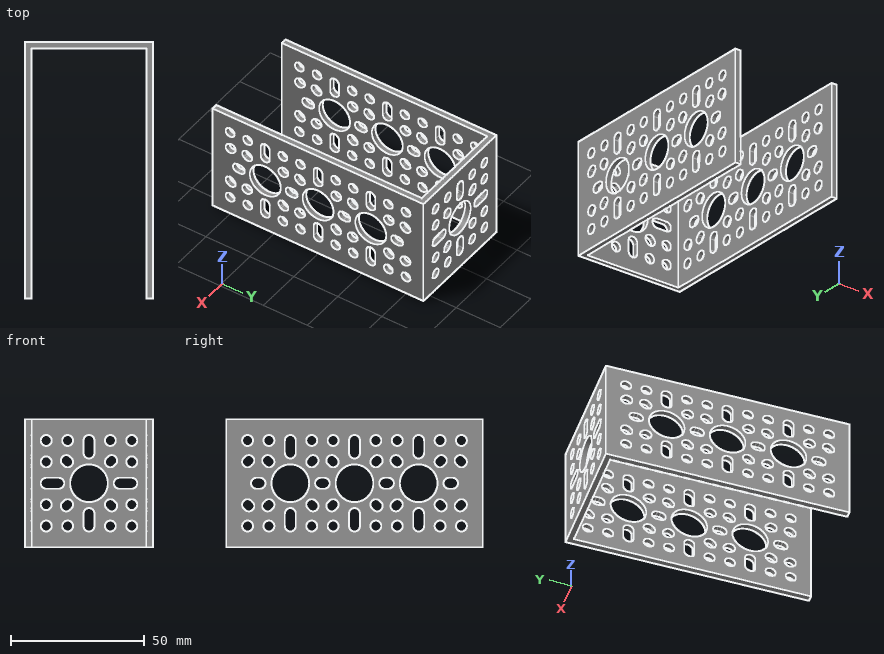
import cadquery as cq
import math

width = 48
length = 96
height = 48
wall = 2.5

cluster_pitch = length / 4
grid_pitch = cluster_pitch / 3
edge_row = 2 * grid_pitch
large_diameter = 14.0
small_diameter = grid_pitch / 2

inner_circle_radius = grid_pitch * math.sqrt(2)
outer_circle_radius = cluster_pitch / 2

signs = (-1, 1)
diagonals = {1: (45, 315), -1: (135, 225)}
side_cluster_centres = (-cluster_pitch, 0, cluster_pitch)


def holes(plane, points, diameter, depth):
    """Round cutters at the given points, reaching the depth on both sides of the plane."""
    return cq.Workplane(plane).pushPoints(points).circle(diameter / 2).extrude(depth, both=True)


def radial_slots(plane, centre, start_radius, end_radius, angles, depth):
    """Slot cutters pointing away from (centre, 0), with end arcs centred on the two radii."""
    middle = (start_radius + end_radius) / 2
    slot_length = end_radius - start_radius + small_diameter
    cutters = cq.Workplane(plane)
    for angle in angles:
        x = centre + middle * math.cos(math.radians(angle))
        y = middle * math.sin(math.radians(angle))
        slot = cq.Workplane(plane).center(x, y).slot2D(slot_length, small_diameter, angle)
        cutters = cutters.add(slot.extrude(depth, both=True))
    return cutters.combine()


def cut_end_wall(body):
    """One cluster through the closed end, with long slots on all four sides."""
    plane = cq.Plane(origin=(0, length / 2, 0), xDir=(1, 0, 0), normal=(0, -1, 0))
    depth = 2 * wall
    ring_quarter = ((edge_row, edge_row), (edge_row, grid_pitch), (grid_pitch, edge_row))
    ring = [(sx * x, sy * y) for x, y in ring_quarter for sx in signs for sy in signs]

    body = body.cut(holes(plane, [(0, 0)], large_diameter, depth))
    body = body.cut(holes(plane, ring, small_diameter, depth))
    body = body.cut(
        radial_slots(plane, 0, inner_circle_radius, outer_circle_radius, diagonals[1] + diagonals[-1], depth)
    )
    return body.cut(
        radial_slots(plane, 0, inner_circle_radius, edge_row, (0, 90, 180, 270), depth)
    )


def cut_side_walls(body):
    """Three full clusters in a row through both side walls, plus a half cluster at each end."""
    plane = "YZ"
    depth = width

    halves = [(centre, side) for centre in side_cluster_centres for side in signs]
    halves += [(-length / 2, 1), (length / 2, -1)]
    for centre, side in halves:
        edge_holes = [(centre + side * grid_pitch, sz * edge_row) for sz in signs]
        body = body.cut(holes(plane, edge_holes, small_diameter, depth))
        body = body.cut(
            radial_slots(plane, centre, inner_circle_radius, outer_circle_radius, diagonals[side], depth)
        )

    large_holes = [(centre, 0) for centre in side_cluster_centres]
    body = body.cut(holes(plane, large_holes, large_diameter, depth))
    for centre in side_cluster_centres:
        body = body.cut(
            radial_slots(plane, centre, inner_circle_radius, edge_row, (90, 270), depth)
        )

    bridge_end = cluster_pitch - inner_circle_radius
    for cluster in (-length / 2,) + side_cluster_centres:
        body = body.cut(radial_slots(plane, cluster, inner_circle_radius, bridge_end, (0,), depth))
    return body


channel = cq.Workplane("XY").box(width, length, height)
inside = cq.Workplane("XY").box(width - 2 * wall, length, height).translate((0, -wall, 0))
channel = channel.cut(inside)

result = cut_side_walls(cut_end_wall(channel))